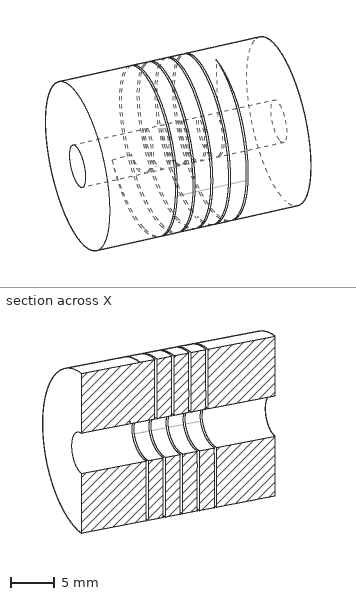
import cadquery as cq

length = 25.0
outer_radius = 10.0
bore_radius = 2.5

flexible_length = 10.0
slit_pitch = 2.2
slit_width = 0.25
slit_turns = 6
slit_y_at_top = 5.1

cutter_inner_radius = bore_radius / 2
cutter_outer_radius = outer_radius + 1.25


def cylinder_along_y(radius, span):
    """Cylinder centred on the origin, with its axis along Y."""
    return cq.Workplane("XZ", origin=(0, span / 2, 0)).circle(radius).extrude(span)


def helical_slit():
    """Left-handed helical blade, limited to the flexible zone."""
    path = cq.Wire.makeHelix(slit_pitch, slit_turns * slit_pitch, outer_radius, lefthand=True)
    blade = (
        cq.Workplane("XZ")
        .center((cutter_inner_radius + cutter_outer_radius) / 2, 0)
        .rect(cutter_outer_radius - cutter_inner_radius, slit_width)
        .sweep(cq.Workplane(path), isFrenet=True)
    )
    height_at_side = slit_y_at_top - slit_pitch / 4
    start_y = height_at_side - (slit_turns - 1) * slit_pitch
    blade = blade.rotate((0, 0, 0), (1, 0, 0), -90).translate((0, start_y, 0))
    flexible_zone = cq.Workplane("XY").box(3 * outer_radius, flexible_length, 3 * outer_radius)
    return blade.intersect(flexible_zone)


body = cylinder_along_y(outer_radius, length).cut(cylinder_along_y(bore_radius, length))
result = body.cut(helical_slit())